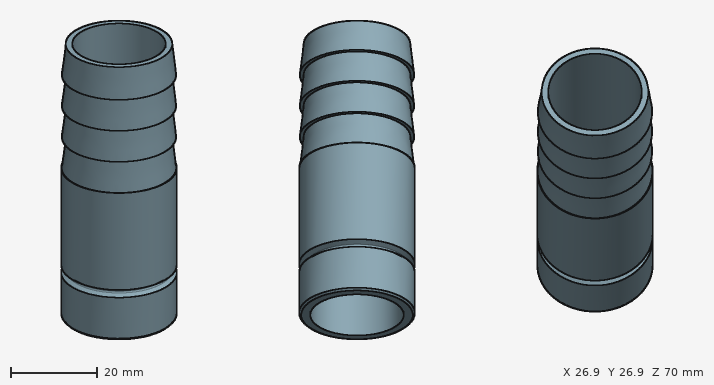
import cadquery as cq
import math

length = 70.0
body_radius = 13.45
bore_radius = 10.85
end_chamfer = 0.5

barb_count = 4
barbed_length = 32.0
barb_pitch = barbed_length / barb_count
barb_root_radius = 12.4
barb_crest_radius = 13.3
barb_start = length - barbed_length

groove_center = 12.05
groove_width = 1.95
flank_depth = 1.1
root_width = 0.55

groove_bottom = groove_center - groove_width / 2
groove_top = groove_center + groove_width / 2
root_bottom = groove_center - root_width / 2
root_top = groove_center + root_width / 2
flank_end_radius = body_radius - flank_depth
flank_angle = math.atan2(flank_depth, root_bottom - groove_bottom)
root_depth = root_width / 2 * math.tan(flank_angle / 2)


def outer_profile():
    """Half section of the solid part, as (radius, height) from the bottom up."""
    profile = (
        cq.Workplane("XZ")
        .lineTo(body_radius - end_chamfer, 0)
        .lineTo(body_radius, end_chamfer)
        .lineTo(body_radius, groove_bottom)
        .lineTo(flank_end_radius, root_bottom)
        .threePointArc(
            (flank_end_radius - root_depth, groove_center),
            (flank_end_radius, root_top),
        )
        .lineTo(body_radius, groove_top)
        .lineTo(body_radius, barb_start)
    )
    for index in range(barb_count):
        barb_bottom = barb_start + index * barb_pitch
        profile = profile.lineTo(barb_crest_radius, barb_bottom)
        profile = profile.lineTo(barb_root_radius, barb_bottom + barb_pitch)
    return profile.lineTo(0, length).close()


outside = outer_profile().revolve(360, (0, 0, 0), (0, 1, 0))
bore = cq.Workplane("XY").circle(bore_radius).extrude(length)
result = outside.cut(bore)